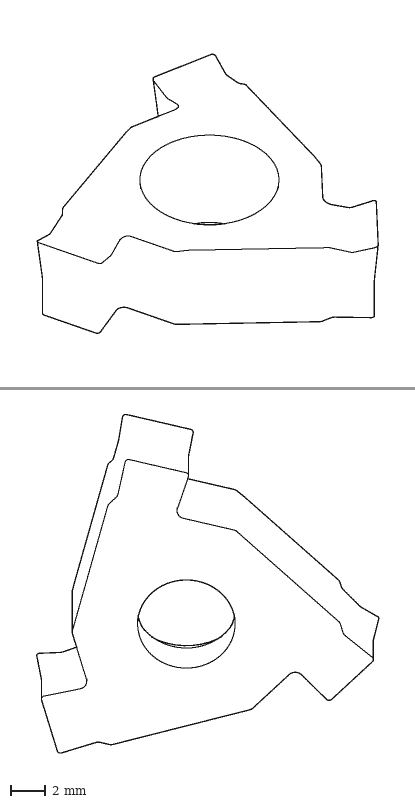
import cadquery as cq
import math

thickness = 5.66
tooth_count = 3
tooth_pitch = 360.0 / tooth_count
side_distance = 6.35
flat_distance = 6.59
corner_radius = 0.4
side_lean = tooth_pitch - 90.0

tip_distance = 9.71
tip_left = -6.315
tip_right = -2.00
heel_angle = 60.0
wall_taper = 3.0
relief_angle = 4.3
relief_base = 2.7
tip_radius = 0.2
heel_radius = 0.45
root_radius = 0.5

ridge_distance = 6.23
valley_distance = 8.18
valley_depth = 0.545
tip_drop = 0.05
valley_radius = 0.45

bore_radius = 5.7 / 2
bore_height = 1.81
seat_radius = 4.3
seat_sweep = 41.0
seat_fillet = 0.4
mouth_angle = 5.0


def unit(angle):
    """Unit vector at an angle in degrees."""
    return cq.Vector(math.cos(math.radians(angle)), math.sin(math.radians(angle)))


def rounded_wire(corners, height):
    """Closed wire along (point, radius) corners, each rounded by its own radius."""
    count = len(corners)
    arcs = []
    for i, (point, radius) in enumerate(corners):
        to_previous = (corners[i - 1][0] - point).normalized()
        to_next = (corners[(i + 1) % count][0] - point).normalized()
        half_angle = to_previous.getAngle(to_next) / 2
        setback = radius / math.tan(half_angle)
        bulge = radius / math.sin(half_angle) - radius
        middle = point + (to_previous + to_next).normalized() * bulge
        arcs.append((point + to_previous * setback, middle, point + to_next * setback))

    lift = cq.Vector(0, 0, height)
    edges = []
    for i, (start, middle, end) in enumerate(arcs):
        edges.append(cq.Edge.makeThreePointArc(start + lift, middle + lift, end + lift))
        next_start = arcs[(i + 1) % count][0]
        edges.append(cq.Edge.makeLine(end + lift, next_start + lift))
    return cq.Wire.assembleEdges(edges)


def outline(inset, height):
    """Plan outline of body and teeth, with the tooth walls moved in by inset."""
    taper = math.tan(math.radians(wall_taper))
    wall_inset = inset / math.cos(math.radians(wall_taper))
    tip_y = -tip_distance + inset
    root_depth = tip_distance - flat_distance

    left_base = tip_left + wall_inset
    right_base = tip_right - wall_inset

    heel_slope = math.tan(math.radians(heel_angle))
    corner = cq.Vector(-side_distance, -side_distance)
    corner_to_wall = left_base + taper * (tip_distance - side_distance) - corner.x
    heel_width = corner_to_wall / (1 + taper * heel_slope)
    left_root = corner + cq.Vector(heel_width, -heel_slope * heel_width)

    lean = math.radians(side_lean)
    flat_end = (side_distance - flat_distance * math.cos(lean)) / math.sin(lean)

    pattern = [
        (corner, corner_radius),
        (left_root, heel_radius),
        (cq.Vector(left_base + taper * inset, tip_y), tip_radius),
        (cq.Vector(right_base - taper * inset, tip_y), tip_radius),
        (cq.Vector(right_base - taper * root_depth, -flat_distance), root_radius),
        (cq.Vector(flat_end, -flat_distance), corner_radius),
    ]
    corners = []
    for i in range(tooth_count):
        for point, radius in pattern:
            turned = cq.Vertex.makeVertex(point.x, point.y, 0)
            turned = turned.rotate(cq.Vector(), cq.Vector(0, 0, 1), i * tooth_pitch)
            corners.append((turned.Center(), radius))
    return rounded_wire(corners, height)


def make_blank():
    """Vertical lower part and the upper part whose teeth flare to the top."""
    base_inset = (thickness - relief_base) * math.tan(math.radians(relief_angle))
    lower = cq.Solid.extrudeLinear(outline(base_inset, 0), [], cq.Vector(0, 0, relief_base))
    upper = cq.Solid.makeLoft([outline(base_inset, relief_base), outline(0, thickness)], True)
    return cq.Workplane(lower).union(cq.Workplane(upper))


def make_chip_groove():
    """Cutter for the rake faces of the -Y tooth, a V with a rounded valley."""
    overrun = 1.0
    valley = (-valley_distance, thickness - valley_depth)
    rise = (valley_depth - tip_drop) / (tip_distance - valley_distance)
    end_y = -tip_distance - overrun
    end_z = thickness - tip_drop + rise * overrun
    profile = [
        (-ridge_distance, thickness),
        valley,
        (end_y, end_z),
        (end_y, thickness + overrun),
        (-ridge_distance, thickness + overrun),
    ]
    half_width = side_distance + overrun
    cutter = cq.Workplane("YZ").polyline(profile).close().extrude(half_width, both=True)
    valley_edge = cq.selectors.NearestToPointSelector((0, *valley))
    return cutter.edges(valley_edge).fillet(valley_radius)


def make_bore():
    """Cutter for the bore, the curved seat and the slightly conical mouth."""
    seat_center = cq.Vector(bore_radius + seat_radius, bore_height)
    seat_top = seat_center + unit(180 - seat_sweep) * seat_radius
    seat_middle = seat_center + unit(180 - seat_sweep / 2) * seat_radius
    fillet_center = seat_top + unit(180 - seat_sweep) * seat_fillet
    fillet_middle = fillet_center + unit(-(seat_sweep + mouth_angle) / 2) * seat_fillet
    fillet_top = fillet_center + unit(-mouth_angle) * seat_fillet
    mouth_spread = (thickness - fillet_top.y) * math.tan(math.radians(mouth_angle))
    mouth_radius = fillet_top.x + mouth_spread
    return (
        cq.Workplane("XZ")
        .lineTo(bore_radius, 0)
        .lineTo(bore_radius, bore_height)
        .threePointArc(seat_middle.toTuple()[:2], seat_top.toTuple()[:2])
        .threePointArc(fillet_middle.toTuple()[:2], fillet_top.toTuple()[:2])
        .lineTo(mouth_radius, thickness)
        .lineTo(0, thickness)
        .close()
        .revolve(360, (0, 0), (0, 1))
    )


result = make_blank()
for tooth in range(tooth_count):
    groove = make_chip_groove().rotate((0, 0, 0), (0, 0, 1), tooth * tooth_pitch)
    result = result.cut(groove)
result = result.cut(make_bore())